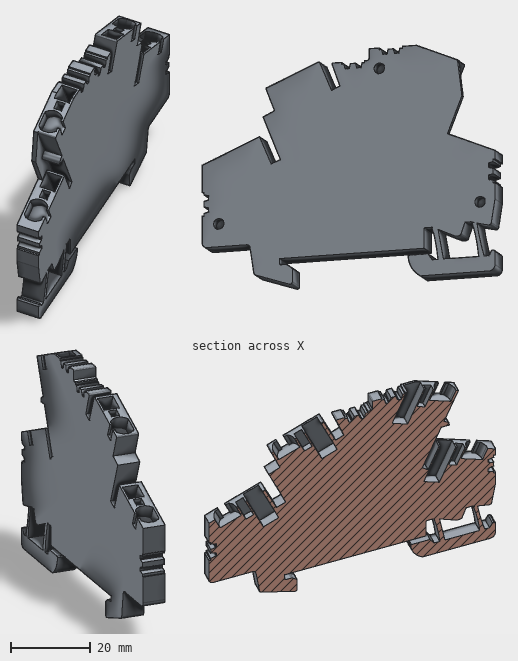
import cadquery as cq
import math

thickness = 6.1
length = 77.8
height = 59.75

slope = math.radians(22.5)
face_rise = math.tan(slope)
pocket_x = 3.4
wire_hole_x = 3.0
wire_hole_radius = 3.1
wire_hole_depth = 3.65
wire_hole_half_width = 2.4
wire_hole_outer_flat = 3.0
wire_opening_width = 2.1
test_slot_size = 2.2
test_slot_offset = 4.75
test_slot_depth = 5.8
lever_width = 4.2
lever_length = 4.4
lever_offset = 8.55
lever_depth = 11.7
edge_rounding = 0.3

rear_low_edge = (length, 32.7)
rear_high_edge = (60.9, 51.4)
front_high_edge = (9.95, 55.25)
front_low_edge = (0.0, 31.1)

plate_thickness = 1.2
relief_length = 25.7
relief_slot_depth = 7.8
relief_face_length = 16.65
bead_radius = 1.9
bead_center = (14.3, 43.8)

recess_width = 6.15
recess_depth = 0.5
groove_depth = 1.7
groove_pitch = 3.1
groove_top = 1.7
groove_bottom = 1.1
groove_floor_inset = 0.3
groove_floor_drop = 0.3
groove_floor_start = 0.8

locating_diameter = 2.7
locating_depth = 2.3
locating_centers = [(30.7, 54.5), (73.4, 17.2), (4.0, 18.05)]

base_z = 7.1
top_step_y = 33.45
step_bevel = 0.4
rear_shelf_z = 56.7
foot_top_z = 4.0


def side_profile(x_start=0.0):
    """Workplane with local coordinates (y, z), extruding towards +X."""
    return cq.Workplane("YZ", origin=(x_start, 0, 0))


def round_corner(body, corner, radius):
    """Round the X-running edge that passes through the (y, z) corner."""
    middle = (thickness / 2, corner[0], corner[1])
    return body.edges(cq.selectors.NearestToPointSelector(middle)).fillet(radius)


def down_slope(edge, side, distance):
    """Point on a terminal face, measured inwards from its outer edge; side is +1 at +Y."""
    return (edge[0] - side * distance * math.cos(slope), edge[1] + distance * math.sin(slope))


def make_housing():
    """Main block with the rear slots, the fixed rail claw and the underside recesses."""
    rear_low_end = (62.55, rear_low_edge[1] + (length - 62.55) * face_rise)
    rear_high_end = (46.7, rear_high_edge[1] + (rear_high_edge[0] - 46.7) * face_rise)
    crest_y = front_high_edge[0] + (height - front_high_edge[1]) / face_rise
    shelf_lip = (43.4, rear_shelf_z)
    step_top = (top_step_y, height)
    nose_bottom = (1.1, 11.75)
    tooth_front = (9.2, 9.65)
    tooth_rear = (10.6, 9.65)
    leg_recess_top = (18.8, 12.4)
    claw_root = (57.2, 5.45)
    claw_shoulder = (55.25, 5.45)
    claw_lip = (53.85, 4.35)
    claw_tip = (53.85, 0.0)
    claw_heel = (64.0, 3.4)
    claw_back = (65.2, 11.3)
    rear_bottom = (length, 11.3)
    outline = [
        rear_low_edge,
        rear_low_end,
        (59.45, 31.75),
        (57.0, 32.7),
        (61.6, 44.05),
        (58.6, 45.45),
        rear_high_edge,
        rear_high_end,
        (43.4, 49.65),
        (41.25, 50.65),
        shelf_lip,
        (top_step_y + step_bevel, rear_shelf_z),
        (top_step_y, rear_shelf_z + step_bevel),
        step_top,
        (crest_y, height),
        front_high_edge,
        (8.8, 45.8),
        (12.6, front_low_edge[1] + 12.6 * face_rise),
        front_low_edge,
        (0.0, 18.5),
        nose_bottom,
        (4.8, 12.6),
        (6.4, 13.1),
        (7.9, 13.1),
        tooth_front,
        tooth_rear,
        (16.65, 12.4),
        leg_recess_top,
        (leg_recess_top[0], base_z),
        (claw_root[0], base_z),
        claw_root,
        claw_shoulder,
        claw_lip,
        claw_tip,
        claw_heel,
        claw_back,
        rear_bottom,
    ]
    housing = side_profile().polyline(outline).close().extrude(thickness)
    for corner, radius in (
        (rear_high_edge, edge_rounding),
        (rear_high_end, edge_rounding),
        (shelf_lip, edge_rounding),
        (step_top, 0.2),
        (nose_bottom, 0.7),
        (tooth_front, 0.8),
        (tooth_rear, 0.8),
        (leg_recess_top, 0.4),
        (claw_root, 0.3),
        (claw_shoulder, 0.6),
        (claw_lip, 0.4),
        (claw_tip, 0.6),
        (claw_heel, 0.6),
        (claw_back, 0.9),
        (rear_bottom, 1.25),
    ):
        housing = round_corner(housing, corner, radius)
    return housing


def make_foot():
    """Sliding rail foot below the front end."""
    return (
        side_profile()
        .moveTo(1.6, 0)
        .lineTo(19.85, 0)
        .threePointArc((22.1, 2.2), (23.1, 5.3))
        .lineTo(22.9, 5.6)
        .lineTo(17.8, 5.6)
        .lineTo(16.65, foot_top_z)
        .lineTo(1.6, foot_top_z)
        .lineTo(0.85, 5.4)
        .lineTo(0.4, 5.4)
        .lineTo(0, 5.0)
        .lineTo(0, 1.55)
        .threePointArc((0.5, 0.5), (1.6, 0))
        .close()
        .extrude(thickness)
    )


def make_leg(y_bottom, neck_width):
    """Springy curved leg joining the foot to the housing."""
    lean = 1.7
    root_width = 1.5
    top_z = 12.8
    root_z = foot_top_z - 0.4
    front_bulge = (y_bottom + 0.7, 8.8)
    rear_bulge = (y_bottom + 0.85 - neck_width, 8.2)
    return (
        side_profile()
        .moveTo(y_bottom, root_z)
        .lineTo(y_bottom, foot_top_z)
        .threePointArc(front_bulge, (y_bottom + lean, top_z))
        .lineTo(y_bottom + lean - neck_width, top_z)
        .threePointArc(rear_bulge, (y_bottom - root_width, foot_top_z))
        .lineTo(y_bottom - root_width, root_z)
        .close()
        .extrude(thickness)
    )


def terminal_pockets(edge, side, wire_distance):
    """Wire hole, test slot and lever opening sunk square to a sloping terminal face."""
    normal = (0, side * math.sin(slope), math.cos(slope))

    def face_at(x, distance):
        y, z = down_slope(edge, side, distance)
        return cq.Workplane(cq.Plane(origin=(x, y, z), xDir=(1, 0, 0), normal=normal))

    wire_limit = (
        face_at(wire_hole_x, wire_distance)
        .center(0, side * (wire_hole_outer_flat - wire_hole_radius))
        .rect(2 * wire_hole_half_width, 2 * wire_hole_radius)
        .extrude(-wire_hole_depth)
    )
    wire_hole = (
        face_at(wire_hole_x, wire_distance)
        .circle(wire_hole_radius)
        .extrude(-wire_hole_depth)
        .intersect(wire_limit)
    )
    side_opening = (
        face_at(thickness, wire_distance)
        .rect(2 * (thickness - wire_hole_x), wire_opening_width)
        .extrude(-wire_hole_depth)
    )
    test_slot = (
        face_at(pocket_x, wire_distance + test_slot_offset)
        .rect(test_slot_size, test_slot_size)
        .extrude(-test_slot_depth)
    )
    lever = (
        face_at(pocket_x, wire_distance + lever_offset)
        .rect(lever_width, lever_length)
        .extrude(-lever_depth)
    )
    return wire_hole.union(side_opening).union(test_slot).union(lever)


def marker_grooves(center, direction):
    """Grooves cut across the edge at center; direction is the outward angle in degrees."""
    profile = side_profile().rect(2 * recess_depth, recess_width).extrude(thickness)
    for groove_side in (-1, 1):
        middle = groove_side * groove_pitch / 2
        groove = (
            side_profile()
            .polyline([
                (0, middle - groove_top / 2),
                (0, middle + groove_top / 2),
                (-recess_depth, middle + groove_top / 2),
                (-groove_depth, middle + groove_bottom / 2),
                (-groove_depth, middle - groove_bottom / 2),
                (-recess_depth, middle - groove_top / 2),
            ])
            .close()
            .extrude(thickness)
        )
        floor_pocket = (
            side_profile(groove_floor_start)
            .center(-groove_depth, middle + groove_side * groove_floor_inset / 2)
            .rect(2 * groove_floor_drop, groove_bottom - groove_floor_inset)
            .extrude(thickness)
        )
        profile = profile.union(groove).union(floor_pocket)
    return profile.rotate((0, 0, 0), (1, 0, 0), direction).translate((0, center[0], center[1]))


def front_relief():
    """Undercut below the upper front terminal, leaving the side plate standing."""
    wall_bottom = (
        front_high_edge[0] + relief_length * math.sin(slope),
        front_high_edge[1] - relief_length * math.cos(slope),
    )
    face_end = down_slope(front_low_edge, -1, relief_face_length)
    slot_bottom = (
        face_end[0] + relief_slot_depth * math.sin(slope),
        face_end[1] - relief_slot_depth * math.cos(slope),
    )
    outside_top = (0.0, front_high_edge[1])
    relief = (
        side_profile(plate_thickness)
        .polyline([front_high_edge, wall_bottom, slot_bottom, face_end, front_low_edge, outside_top])
        .close()
        .extrude(thickness)
    )
    bead = (
        side_profile(plate_thickness)
        .center(*bead_center)
        .moveTo(-bead_radius, 0)
        .lineTo(bead_radius, 0)
        .threePointArc((0, bead_radius), (-bead_radius, 0))
        .close()
        .extrude(thickness)
    )
    return relief.cut(bead)


result = make_housing().union(make_foot())
for leg_y, neck_width in ((15.2, 1.55), (4.35, 1.25)):
    result = result.union(make_leg(leg_y, neck_width))

result = result.cut(front_relief())
result = round_corner(result, front_high_edge, edge_rounding)

for edge, side, wire_distance in (
    (rear_low_edge, 1, 4.8),
    (rear_high_edge, 1, 3.7),
    (front_high_edge, -1, 3.9),
    (front_low_edge, -1, 5.4),
):
    result = result.cut(terminal_pockets(edge, side, wire_distance))

for center, direction in (
    ((27.7, height), 90),
    ((37.7, rear_shelf_z), 90),
    ((length, 22.6), 0),
    ((0.0, 25.8), 180),
):
    result = result.cut(marker_grooves(center, direction))

result = result.cut(
    side_profile().pushPoints(locating_centers).circle(locating_diameter / 2).extrude(locating_depth)
)